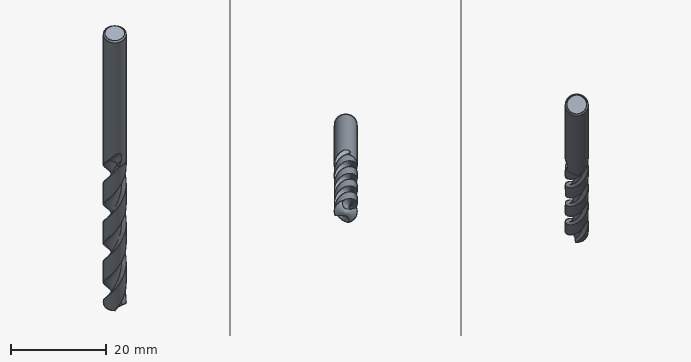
import cadquery as cq
import math

drill_length = 86.0
diameter = 4.8
fluted_length = 46.4
point_angle = 118.0
shank_chamfer = 0.35

flute_count = 2
flute_pitch = 24.7
flute_radius = 1.7
web_thickness = 1.55
cutting_face_angle = 42.0
runout_slope = 0.15
flute_crossing = 2.8

radius = diameter / 2
point_height = radius / math.tan(math.radians(point_angle / 2))
shank_length = drill_length - fluted_length
flute_offset = web_thickness / 2 + flute_radius
face_radians = math.radians(cutting_face_angle)
crease_distance = flute_offset * math.cos(face_radians) - math.sqrt(
    flute_radius**2 - (flute_offset * math.sin(face_radians))**2
)


def flute_angle(height):
    """Direction, in degrees from +X, in which the first flute faces at a height."""
    return 360 * (height - flute_crossing) / flute_pitch


def flute_directions(height):
    """Directions of all the flutes at a height."""
    return [flute_angle(height) + index * 360 / flute_count for index in range(flute_count)]


def point_at(distance, angle, height):
    """Point at a distance from the axis, in a direction given in degrees from +X."""
    x = distance * math.cos(math.radians(angle))
    y = distance * math.sin(math.radians(angle))
    return cq.Vector(x, y, height)


def flute_section(angle, height):
    """Flute outline: a round floor ending in a straight radial cutting face."""
    center = point_at(flute_offset, angle, height)
    crease = point_at(crease_distance, angle + cutting_face_angle, height)
    floor = center - point_at(flute_radius, angle, 0)
    side = center - point_at(flute_radius, angle + 90, 0)
    face_end = point_at(diameter, angle + cutting_face_angle, height)
    return cq.Wire.assembleEdges([
        cq.Edge.makeThreePointArc(crease, floor, side),
        cq.Edge.makeLine(side, face_end),
        cq.Edge.makeLine(face_end, crease),
    ])


def make_twisted_flute(angle):
    """Flute space that climbs the helix from the point to the shank."""
    return cq.Solid.extrudeLinearWithRotation(
        flute_section(angle, 0),
        [],
        cq.Vector(0, 0, 0),
        cq.Vector(0, 0, fluted_length),
        360 * fluted_length / flute_pitch,
    )


def make_fluted_body():
    """Round bar with a conical point and two helical flutes."""
    body = (
        cq.Workplane("XZ")
        .polyline([(0, 0), (radius, point_height), (radius, fluted_length), (0, fluted_length)])
        .close()
        .revolve(360, (0, 0), (0, 1))
    )
    for angle in flute_directions(0):
        body = body.cut(cq.Workplane(obj=make_twisted_flute(angle)))
    return body


def make_flute_runout(angle):
    """Straight end of a flute that follows the helix slope and leaves the shank."""
    rise = flute_pitch / 2
    sideways = 2 * math.pi * flute_offset * rise / flute_pitch
    direction = point_at(sideways, angle + 90, rise) + point_at(rise * runout_slope, angle, 0)
    return cq.Solid.extrudeLinear(flute_section(angle, fluted_length), [], direction)


def make_shank():
    """Plain shank with a chamfered end and the flute runouts at its foot."""
    shank = (
        cq.Workplane("XY", origin=(0, 0, fluted_length))
        .circle(radius)
        .extrude(shank_length)
        .faces(">Z")
        .chamfer(shank_chamfer)
    )
    for angle in flute_directions(fluted_length):
        shank = shank.cut(cq.Workplane(obj=make_flute_runout(angle)))
    return shank


fluted_body = make_fluted_body()
shank = make_shank()

result = cq.Compound.makeCompound([fluted_body.solids().val(), shank.solids().val()])